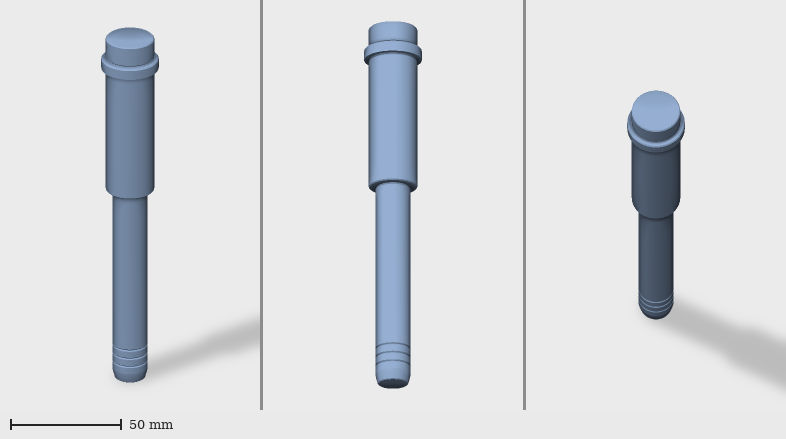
import cadquery as cq

total_length = 170.0
head_length = 10.0
collar_thickness = 5.0
body_bottom = 94.0
neck_length = 1.0
tip_length = 5.0

collar_radius = 26.0 / 2
body_radius = 22.0 / 2
pin_radius = 16.0 / 2
tip_radius = 6.8
tip_bulge = 0.2

collar_chamfer = 0.5
body_chamfer = 0.5
tip_chamfer = 0.3

relief_width = 1.0
relief_depth = 0.5
neck_depth = 0.5

ring_groove_count = 3
ring_groove_pitch = 4.0
ring_groove_width = 1.0
ring_groove_depth = 0.5
lowest_groove_bottom = 8.0

collar_top = total_length - head_length
collar_bottom = collar_top - collar_thickness


def cylinder(radius, bottom, top):
    """Solid cylinder on the Z axis between two heights."""
    return cq.Workplane("XY").workplane(offset=bottom).circle(radius).extrude(top - bottom)


def ring_cut(outer_radius, depth, bottom, width):
    """Ring that cuts a square groove of the given depth into a cylinder."""
    outer = cylinder(outer_radius + depth, bottom, bottom + width)
    return outer.cut(cylinder(outer_radius - depth, bottom, bottom + width))


def vee_cut(outer_radius, depth, bottom, width):
    """Ring of triangular section that cuts a V groove into a cylinder."""
    profile = cq.Workplane("XZ").polyline(
        [
            (outer_radius, bottom),
            (outer_radius - depth, bottom + width / 2),
            (outer_radius, bottom + width),
            (outer_radius + depth, bottom + width),
            (outer_radius + depth, bottom),
        ]
    )
    return profile.close().revolve(360, (0, 0), (0, 1))


def make_tip():
    """Slightly bulged lead-in taper with a chamfered end."""
    middle_radius = (pin_radius + tip_radius) / 2 + tip_bulge
    profile = (
        cq.Workplane("XZ")
        .lineTo(tip_radius, 0)
        .threePointArc((middle_radius, tip_length / 2), (pin_radius, tip_length))
        .lineTo(0, tip_length)
        .close()
    )
    return profile.revolve(360, (0, 0), (0, 1)).faces("<Z").chamfer(tip_chamfer)


body = cylinder(body_radius, body_bottom, total_length).faces("<Z or >Z").chamfer(body_chamfer)
for relief_bottom in (collar_top, collar_bottom - relief_width):
    body = body.cut(vee_cut(body_radius, relief_depth, relief_bottom, relief_width))

collar = cylinder(collar_radius, collar_bottom, collar_top).faces(">Z").chamfer(collar_chamfer)

pin = cylinder(pin_radius, tip_length, body_bottom)
pin = pin.cut(ring_cut(pin_radius, neck_depth, body_bottom - neck_length, neck_length))
for index in range(ring_groove_count):
    groove_bottom = lowest_groove_bottom + index * ring_groove_pitch
    pin = pin.cut(vee_cut(pin_radius, ring_groove_depth, groove_bottom, ring_groove_width))

result = body.union(collar).union(pin).union(make_tip())